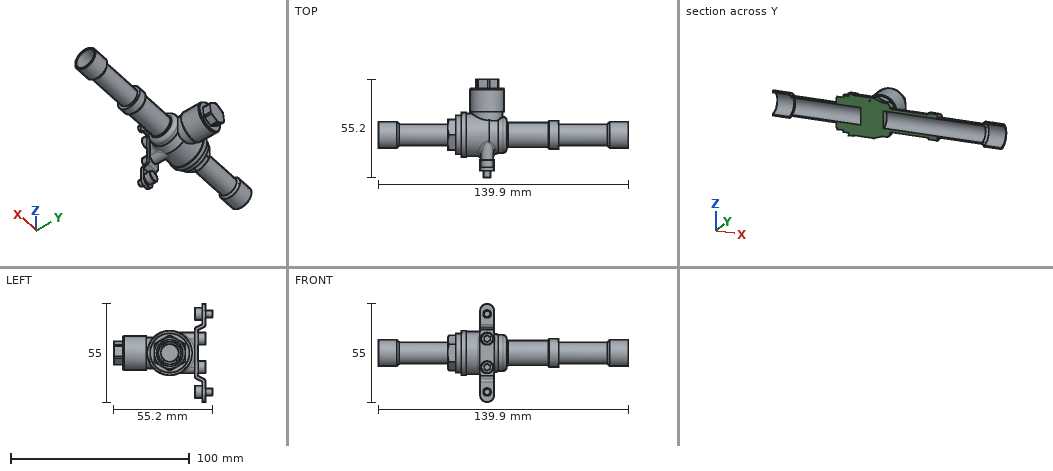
import cadquery as cq
import math


LENGTH = 139.9
LEFT_END = -60.9
RIGHT_END = LEFT_END + LENGTH

TUBE_D = 12.0
TUBE_BORE_D = 10.0
SOCKET_D = 14.8
SOCKET_BORE_D = 12.7
SOCKET_LENGTH = 10.4
SOCKET_TAPER = 1.4
BORE_STOP = 7.0

NUT_FLATS = 17.2
NUT_LEFT = -22.0
NUT_LENGTH = 4.3
NUT_FACE_D = 17.5
NUT_CHAMFER = 0.7
FLANGE_D = 22.0
FLANGE_LENGTH = 3.2
COLLAR_D = 25.0
COLLAR_LENGTH = 2.8

BODY_D = 24.0
BODY_CONE_START = 1.1
SHOULDER_START = 6.3
SHOULDER_D = 20.4
SHOULDER_END = 11.0
SHOULDER_ROUND = 2.4
NECK_TAPER = 0.7
NECK_TAPER_D = 14.8

NECK_D = 14.0
RING_D = 16.0
RING_START = 34.1
RING_END = 40.0
RING_CHAMFER = 0.7

STEM_D = 17.5
CAP_D = 19.2
CAP_START = 13.0
CAP_END = 26.2
CAP_CHAMFER_LENGTH = 0.8
CAP_CHAMFER_DEPTH = 0.4
CAP_HEX_FLATS = 12.2
CAP_HEX_CORNER_D = 13.5
CAP_HEX_TURN = 21.3
STEM_TOP = 31.2

BRACKET_WIDTH = 8.0
BRACKET_HEIGHT = 55.0
PLATE_THICKNESS = 2.0
PLATE_BACK = -14.0
TAB_SHIFT = 4.2
BEND_INNER_Z = 12.9
BEND_OUTER_Z = 16.1
SCREW_HEAD_D = 7.0
SCREW_HEAD_LENGTH = 4.2
SCREW_KEY_FLATS = 3.4
SCREW_KEY_DEPTH = 2.1
HEAD_CHAMFER = 0.3
MIDDLE_SCREW_Z = 8.0
TAB_SCREW_Z = 21.8
TAB_HOLE_D = 4.5
SHANK_D = 4.0
SHANK_END = -24.0
SHANK_CHAMFER = 0.35
PAD_WIDTH = SCREW_HEAD_D
PAD_FILLET = 1.8
PICK_MARGIN = 0.1

PLATE_FRONT = PLATE_BACK - PLATE_THICKNESS
TAB_BACK = PLATE_BACK - TAB_SHIFT
HEX_CORNER_RATIO = 1 / math.cos(math.pi / 6)


def rod(diameter, start, end, z=0.0):
    """Cylinder along Y from start to end, at height z on the stem plane."""
    low = min(start, end)
    return cq.Workplane("XZ", origin=(0, low, z)).circle(diameter / 2).extrude(-abs(end - start))


def turned(profile):
    """Revolve a closed (x, radius) profile about the flow axis."""
    return profile.close().revolve(360, (0, 0, 0), (1, 0, 0))


def flow_line():
    flange_left = NUT_LEFT + NUT_LENGTH
    collar_left = flange_left + FLANGE_LENGTH
    collar_right = collar_left + COLLAR_LENGTH
    left_taper = LEFT_END + SOCKET_LENGTH
    right_taper = RIGHT_END - SOCKET_LENGTH
    round_start = SHOULDER_END - SHOULDER_ROUND
    round_r = SHOULDER_D / 2 - SHOULDER_ROUND
    round_mid = SHOULDER_ROUND * math.sqrt(0.5)
    outline = (
        cq.Workplane("XY")
        .moveTo(LEFT_END, 0)
        .lineTo(LEFT_END, SOCKET_D / 2)
        .lineTo(left_taper, SOCKET_D / 2)
        .lineTo(left_taper + SOCKET_TAPER, TUBE_D / 2)
        .lineTo(flange_left, TUBE_D / 2)
        .lineTo(flange_left, FLANGE_D / 2)
        .lineTo(collar_left, FLANGE_D / 2)
        .lineTo(collar_left, COLLAR_D / 2)
        .lineTo(collar_right, COLLAR_D / 2)
        .lineTo(collar_right, BODY_D / 2)
        .lineTo(BODY_CONE_START, BODY_D / 2)
        .lineTo(SHOULDER_START, SHOULDER_D / 2)
        .lineTo(round_start, SHOULDER_D / 2)
        .threePointArc((round_start + round_mid, round_r + round_mid), (SHOULDER_END, round_r))
        .lineTo(SHOULDER_END, NECK_TAPER_D / 2)
        .lineTo(SHOULDER_END + NECK_TAPER, NECK_D / 2)
        .lineTo(RING_START, NECK_D / 2)
        .lineTo(RING_START, RING_D / 2 - RING_CHAMFER)
        .lineTo(RING_START + RING_CHAMFER, RING_D / 2)
        .lineTo(RING_END, RING_D / 2)
        .lineTo(RING_END, TUBE_D / 2)
        .lineTo(right_taper - SOCKET_TAPER, TUBE_D / 2)
        .lineTo(right_taper, SOCKET_D / 2)
        .lineTo(RIGHT_END, SOCKET_D / 2)
        .lineTo(RIGHT_END, 0)
    )
    return turned(outline)


def socket_bore(mouth, inward):
    """Stepped bore from a socket mouth to the ball; inward is +1 or -1 along X."""
    taper_start = mouth + inward * SOCKET_LENGTH
    outline = (
        cq.Workplane("XY")
        .moveTo(mouth, 0)
        .lineTo(mouth, SOCKET_BORE_D / 2)
        .lineTo(taper_start, SOCKET_BORE_D / 2)
        .lineTo(taper_start + inward * SOCKET_TAPER, TUBE_BORE_D / 2)
        .lineTo(-inward * BORE_STOP, TUBE_BORE_D / 2)
        .lineTo(-inward * BORE_STOP, 0)
    )
    return turned(outline)


def end_nut():
    """Hexagon with corners up and down, its outer face chamfered by turning."""
    corner_d = NUT_FLATS * HEX_CORNER_RATIO
    nut_plane = cq.Workplane("YZ", origin=(NUT_LEFT, 0, 0))
    hexagon = nut_plane.transformed(rotate=(0, 0, 90)).polygon(6, corner_d).extrude(NUT_LENGTH)
    envelope = turned(
        cq.Workplane("XY")
        .moveTo(NUT_LEFT, 0)
        .lineTo(NUT_LEFT, NUT_FACE_D / 2)
        .lineTo(NUT_LEFT + NUT_CHAMFER, corner_d / 2)
        .lineTo(NUT_LEFT + NUT_LENGTH, corner_d / 2)
        .lineTo(NUT_LEFT + NUT_LENGTH, 0)
    )
    return hexagon.intersect(envelope)


def stem():
    cap = rod(CAP_D, CAP_START, CAP_END)
    cap = cap.faces(">Y").edges().chamfer(CAP_CHAMFER_LENGTH, CAP_CHAMFER_DEPTH)
    hexagon = (
        cq.Workplane("XZ", origin=(0, CAP_END, 0))
        .transformed(rotate=(0, 0, CAP_HEX_TURN))
        .polygon(6, CAP_HEX_FLATS * HEX_CORNER_RATIO)
        .extrude(CAP_END - STEM_TOP)
    )
    hexagon = hexagon.intersect(rod(CAP_HEX_CORNER_D, CAP_END, STEM_TOP))
    return rod(STEM_D, 0, CAP_START).union(cap).union(hexagon)


def bracket_pad():
    return (
        cq.Workplane("XZ")
        .slot2D(2 * MIDDLE_SCREW_Z + PAD_WIDTH, PAD_WIDTH, 90)
        .extrude(-PLATE_BACK)
    )


def pad_root_edges(body):
    """Edges where the pad's sides run into the turned body."""
    half_width = PAD_WIDTH / 2 + PICK_MARGIN
    half_height = MIDDLE_SCREW_Z + half_width
    near_pad = cq.selectors.BoxSelector(
        (-half_width, PLATE_BACK + PICK_MARGIN, -half_height),
        (half_width, 0, half_height),
        boundingbox=True,
    )
    return body.edges(near_pad).edges("not |Y")


def bracket_half_strip():
    """Upper half of the strip; each bend is sharp inside and an arc of one plate thickness outside."""
    inner_y = PLATE_FRONT
    outer_y = TAB_BACK
    end_z = BRACKET_HEIGHT / 2
    rise = BEND_OUTER_Z - BEND_INNER_Z
    run = inner_y - outer_y
    slope = math.atan2(rise, run) - math.asin(PLATE_THICKNESS / math.hypot(rise, run))

    def inner_arc(angle):
        y = inner_y + PLATE_THICKNESS * math.cos(angle)
        return y, BEND_INNER_Z + PLATE_THICKNESS * math.sin(angle)

    def outer_arc(angle):
        y = outer_y - PLATE_THICKNESS * math.cos(angle)
        return y, BEND_OUTER_Z - PLATE_THICKNESS * math.sin(angle)

    bend = math.pi / 2 - slope
    return (
        cq.Workplane("YZ")
        .moveTo(PLATE_FRONT, 0)
        .lineTo(PLATE_BACK, 0)
        .lineTo(*inner_arc(0))
        .threePointArc(inner_arc(bend / 2), inner_arc(bend))
        .lineTo(outer_y, BEND_OUTER_Z)
        .lineTo(outer_y, end_z)
        .lineTo(outer_y - PLATE_THICKNESS, end_z)
        .lineTo(*outer_arc(0))
        .threePointArc(outer_arc(bend / 2), outer_arc(bend))
        .lineTo(inner_y, BEND_INNER_Z)
        .close()
        .extrude(BRACKET_WIDTH / 2, both=True)
    )


def bracket():
    half = bracket_half_strip()
    strip = half.union(half.mirror("XY"))
    rounded = (
        cq.Workplane("XZ")
        .slot2D(BRACKET_HEIGHT, BRACKET_WIDTH, 90)
        .extrude(-TAB_BACK + PLATE_THICKNESS)
    )
    strip = strip.intersect(rounded)
    for z in (TAB_SCREW_Z, -TAB_SCREW_Z):
        strip = strip.cut(rod(TAB_HOLE_D, TAB_BACK - PLATE_THICKNESS, TAB_BACK, z))
    return strip


def middle_screw(z):
    """Socket-head screw with its head on the -Y face of the bracket."""
    head_end = PLATE_FRONT - SCREW_HEAD_LENGTH
    head = rod(SCREW_HEAD_D, PLATE_FRONT, head_end, z).faces("<Y").edges().chamfer(HEAD_CHAMFER)
    key = (
        cq.Workplane("XZ", origin=(0, head_end, z))
        .transformed(rotate=(0, 0, 90))
        .polygon(6, SCREW_KEY_FLATS * HEX_CORNER_RATIO)
        .extrude(-SCREW_KEY_DEPTH)
    )
    return head.cut(key)


def tab_screw(z):
    """Screw through an end tab, with its head on the +Y face and its tip towards -Y."""
    head = rod(SCREW_HEAD_D, TAB_BACK, TAB_BACK + SCREW_HEAD_LENGTH, z)
    head = head.faces(">Y").edges().chamfer(HEAD_CHAMFER)
    shank = rod(SHANK_D, SHANK_END, TAB_BACK, z).faces("<Y").edges().chamfer(SHANK_CHAMFER)
    return head.union(shank)


valve = flow_line().union(bracket_pad())
valve = pad_root_edges(valve).fillet(PAD_FILLET)
valve = valve.union(end_nut()).union(stem())
valve = valve.cut(socket_bore(LEFT_END, 1)).cut(socket_bore(RIGHT_END, -1))
valve = valve.union(bracket())
for side in (1, -1):
    valve = valve.union(middle_screw(side * MIDDLE_SCREW_Z))
    valve = valve.union(tab_screw(side * TAB_SCREW_Z))
result = valve